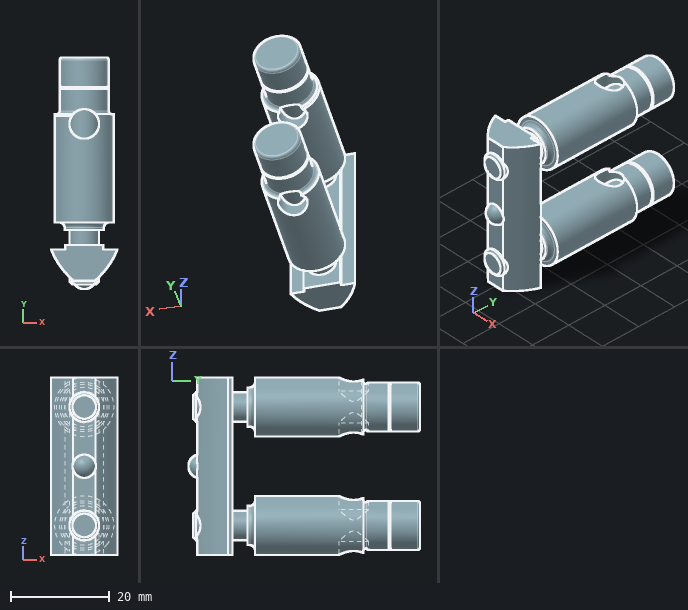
import cadquery as cq
import math


nut_length = 36.0
nut_width = 13.5
nut_depth = 7.2
guide_width = 7.7
guide_height = 0.9
nose_width = 4.5
flank_radius = 15.5

ball_radius = 2.45
ball_tip = 9.0

screw_spacing = 24.0
rod_radius = 3.0
rod_tip = 8.0
rod_chamfer = 0.6

rod_gap = 3.0
collar_radius = 4.0
collar_length = 0.5
neck_fillet = 1.0
barrel_radius = 6.0
barrel_length = 22.0
sleeve_radius = 5.0
sleeve_length = 5.5
sleeve_chamfer = 0.4
shoulder_fillet = 0.6
cap_length = 6.0
cap_fillet = 0.6

collar_front = rod_gap
neck_start = collar_front + collar_length
barrel_front = neck_start + neck_fillet
barrel_rear = barrel_front + barrel_length
sleeve_rear = barrel_rear + sleeve_length
cap_rear = sleeve_rear + cap_length

cross_hole_radius = 3.0
cross_hole_setback = 2.0
cross_hole_y = barrel_rear - cross_hole_setback
core_radius = 3.2

rim_chamfer = 0.4


def make_nut():
    """Prism along Z with bulging flanks, a flat nose and a raised guide on the rear."""
    half_width = nut_width / 2
    half_nose = nose_width / 2
    half_guide = guide_width / 2
    run = half_width - half_nose
    rise = nut_depth - guide_height
    chord = math.hypot(run, rise)
    bulge = flank_radius - math.sqrt(flank_radius**2 - (chord / 2) ** 2)
    flank_x = (half_width + half_nose) / 2 + bulge * rise / chord
    flank_y = -(guide_height + nut_depth) / 2 - bulge * run / chord
    return (
        cq.Workplane("XY")
        .moveTo(-half_guide, 0)
        .lineTo(half_guide, 0)
        .lineTo(half_guide, -guide_height)
        .lineTo(half_width, -guide_height)
        .threePointArc((flank_x, flank_y), (half_nose, -nut_depth))
        .lineTo(-half_nose, -nut_depth)
        .threePointArc((-flank_x, flank_y), (-half_width, -guide_height))
        .lineTo(-half_guide, -guide_height)
        .close()
        .extrude(nut_length / 2, both=True)
    )


def make_ball():
    """Ball whose foremost point stands at the tip distance ahead of the nut's rear face."""
    return cq.Workplane("XY").sphere(ball_radius).translate((0, ball_radius - ball_tip, 0))


def make_screw():
    """Screw on the Y axis: chamfered rod, collar, barrel, sleeve and rounded cap."""
    neck_radius = collar_radius + neck_fillet
    diagonal = math.sqrt(0.5)
    cap_center_radius = sleeve_radius - cap_fillet
    shoulder_center_radius = sleeve_radius + shoulder_fillet
    profile = (
        cq.Workplane("XY")
        .moveTo(0, -rod_tip)
        .lineTo(rod_radius - rod_chamfer, -rod_tip)
        .lineTo(rod_radius, -rod_tip + rod_chamfer)
        .lineTo(rod_radius, collar_front)
        .lineTo(collar_radius, collar_front)
        .lineTo(collar_radius, neck_start)
        .threePointArc(
            (neck_radius - neck_fillet * diagonal, neck_start + neck_fillet * diagonal),
            (neck_radius, barrel_front),
        )
        .lineTo(barrel_radius, barrel_front)
        .lineTo(barrel_radius, barrel_rear)
        .lineTo(shoulder_center_radius, barrel_rear)
        .threePointArc(
            (
                shoulder_center_radius - shoulder_fillet * diagonal,
                barrel_rear + shoulder_fillet * (1 - diagonal),
            ),
            (sleeve_radius, barrel_rear + shoulder_fillet),
        )
        .lineTo(sleeve_radius, sleeve_rear - sleeve_chamfer)
        .lineTo(sleeve_radius - sleeve_chamfer, sleeve_rear)
        .lineTo(sleeve_radius, sleeve_rear)
        .lineTo(sleeve_radius, cap_rear - cap_fillet)
        .threePointArc(
            (cap_center_radius + cap_fillet * diagonal, cap_rear - cap_fillet * (1 - diagonal)),
            (cap_center_radius, cap_rear),
        )
        .lineTo(0, cap_rear)
        .close()
    )
    return profile.revolve(360, (0, 0, 0), (0, 1, 0))


def make_cross_hole():
    """Hole along Z through the barrel, less the core that runs along its axis."""
    hole = (
        cq.Workplane("XY")
        .center(0, cross_hole_y)
        .circle(cross_hole_radius)
        .extrude(2 * barrel_radius, both=True)
    )
    core = (
        cq.Workplane("XZ", origin=(0, cross_hole_y, 0))
        .circle(core_radius)
        .extrude(2 * cross_hole_radius, both=True)
    )
    return hole.cut(core)


def make_rim_cut():
    """Half ring of triangular section that chamfers the rear rim of a barrel on its -X side."""
    return (
        cq.Workplane("XY")
        .moveTo(barrel_radius - rim_chamfer, barrel_rear)
        .lineTo(barrel_radius, barrel_rear)
        .lineTo(barrel_radius, barrel_rear - rim_chamfer)
        .close()
        .revolve(180, (0, 0, 0), (0, 1, 0))
        .rotate((0, 0, 0), (0, 1, 0), 90)
    )


lower_screw = make_screw().cut(make_cross_hole())
upper_screw = lower_screw.cut(make_rim_cut())

result = (
    make_nut()
    .union(make_ball())
    .union(lower_screw.translate((0, 0, -screw_spacing / 2)))
    .union(upper_screw.translate((0, 0, screw_spacing / 2)))
)